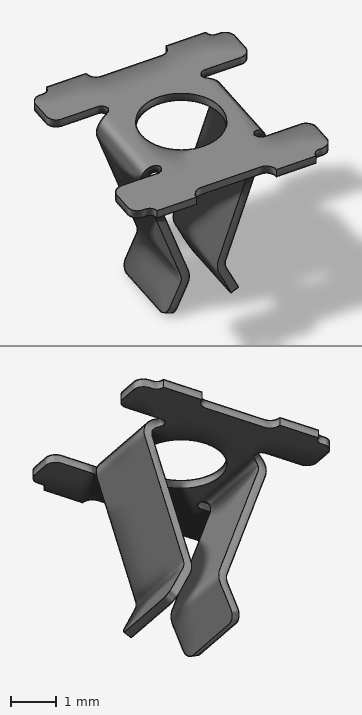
import cadquery as cq
import math

half_size = 2.5
height = 4.5
thickness = 0.2
hole_diameter = 2.0

waist_depth = 0.25
waist_end_y = 1.0
corner_notch = 0.175
corner_notch_y = 2.0
foot_radius = 0.25

leg_half_width = 1.0
relief_radius = 0.175
slot_outer_x = leg_half_width + 2 * relief_radius
slot_center_x = leg_half_width + relief_radius
bend_y = 1.175
bend_outer_radius = 0.4
bend_inner_radius = bend_outer_radius - thickness
relief_angle = 62.0
leg_angle = 19.0
throat_half_gap = 0.35
throat_inner_radius = 0.3
throat_outer_radius = throat_inner_radius + thickness
lip_angle = 25.0
lip_corner_radius = 0.25


def polar(center, radius, degrees):
    """Point in the YZ plane, with the angle measured from +Y towards +Z."""
    angle = math.radians(degrees)
    return (center[0] + radius * math.cos(angle), center[1] + radius * math.sin(angle))


def make_plate_quarter():
    diagonal = math.sqrt(0.5)
    foot_outer_x = half_size - corner_notch
    waist_x = half_size - waist_depth
    waist_y = waist_end_y - waist_depth
    notch_y = corner_notch_y + corner_notch
    slot_y = bend_y + relief_radius
    foot_inset = foot_radius * (1 - diagonal)
    return (
        cq.Workplane("XY")
        .lineTo(waist_x, 0)
        .lineTo(waist_x, waist_y)
        .threePointArc(
            (half_size - waist_depth * diagonal, waist_y + waist_depth * diagonal),
            (half_size, waist_end_y),
        )
        .lineTo(half_size, corner_notch_y)
        .threePointArc(
            (half_size - corner_notch * diagonal, notch_y - corner_notch * diagonal),
            (foot_outer_x, notch_y),
        )
        .lineTo(foot_outer_x, half_size - foot_radius)
        .threePointArc(
            (foot_outer_x - foot_inset, half_size - foot_inset),
            (foot_outer_x - foot_radius, half_size),
        )
        .lineTo(slot_outer_x + foot_radius, half_size)
        .threePointArc(
            (slot_outer_x + foot_inset, half_size - foot_inset),
            (slot_outer_x, half_size - foot_radius),
        )
        .lineTo(slot_outer_x, slot_y)
        .threePointArc(
            (slot_center_x + relief_radius * diagonal, slot_y - relief_radius * diagonal),
            (slot_center_x, bend_y),
        )
        .lineTo(0, bend_y)
        .close()
        .extrude(-thickness)
    )


def make_plate():
    quarter = make_plate_quarter()
    half = quarter.union(quarter.mirror("YZ"))
    hole = cq.Workplane("XY").circle(hole_diameter / 2).extrude(-thickness)
    return half.union(half.mirror("XZ")).cut(hole)


def make_relief_cutter(bend_center):
    """Slot side carried around the bend, with walls square to the bent sheet."""
    steps = 8
    clearance = 0.05

    def wrapped_edges(radius):
        curve = []
        border = []
        for step in range(steps + 1):
            fraction = step / steps
            y, z = polar(bend_center, radius, 90 - relief_angle * fraction)
            x = slot_center_x - relief_radius * math.sqrt(1 - (1 - fraction) ** 2)
            curve.append(cq.Vector(x, y, z))
            border.append(cq.Vector(slot_outer_x, y, z))
        return cq.Edge.makeSpline(curve), cq.Edge.makeSpline(border)

    inner_curve, inner_border = wrapped_edges(bend_inner_radius - clearance)
    outer_curve, outer_border = wrapped_edges(bend_outer_radius + clearance)
    faces = [
        cq.Face.makeRuledSurface(inner_curve, outer_curve),
        cq.Face.makeRuledSurface(inner_border, outer_border),
        cq.Face.makeRuledSurface(inner_curve, inner_border),
        cq.Face.makeRuledSurface(outer_curve, outer_border),
    ]
    for end in (0, 1):
        corners = [
            edge.positionAt(end)
            for edge in (inner_curve, inner_border, outer_border, outer_curve)
        ]
        faces.append(cq.Face.makeFromWires(cq.Wire.makePolygon(corners, close=True)))
    return cq.Workplane(cq.Solid.makeSolid(cq.Shell.makeShell(faces)).fix())


def make_leg():
    bend_center = (bend_y, -bend_outer_radius)
    lean = math.radians(leg_angle)
    lip_lean = math.radians(lip_angle)

    throat_y = throat_half_gap + throat_outer_radius
    tangent_distance = bend_outer_radius + throat_inner_radius
    throat_drop = (tangent_distance + (bend_y - throat_y) * math.cos(lean)) / math.sin(lean)
    throat_center = (throat_y, bend_center[1] - throat_drop)
    lip_start_angle = 180 + lip_angle
    throat_start_angle = 180 - leg_angle
    throat_middle_angle = (lip_start_angle + throat_start_angle) / 2
    bend_middle_angle = (90 - leg_angle) / 2

    lip_inner_start = polar(throat_center, throat_outer_radius, lip_start_angle)
    lip_outer_start = polar(throat_center, throat_inner_radius, lip_start_angle)
    lip_length = (height + lip_inner_start[1]) / math.cos(lip_lean)
    lip_inner_end = polar(lip_inner_start, lip_length, lip_angle - 90)
    lip_outer_end = polar(lip_outer_start, lip_length, lip_angle - 90)

    leg = (
        cq.Workplane("YZ")
        .moveTo(bend_y, 0)
        .threePointArc(
            polar(bend_center, bend_outer_radius, bend_middle_angle),
            polar(bend_center, bend_outer_radius, -leg_angle),
        )
        .lineTo(*polar(throat_center, throat_inner_radius, throat_start_angle))
        .threePointArc(
            polar(throat_center, throat_inner_radius, throat_middle_angle),
            lip_outer_start,
        )
        .lineTo(*lip_outer_end)
        .lineTo(*lip_inner_end)
        .lineTo(*lip_inner_start)
        .threePointArc(
            polar(throat_center, throat_outer_radius, throat_middle_angle),
            polar(throat_center, throat_outer_radius, throat_start_angle),
        )
        .lineTo(*polar(bend_center, bend_inner_radius, -leg_angle))
        .threePointArc(
            polar(bend_center, bend_inner_radius, bend_middle_angle),
            (bend_y, -thickness),
        )
        .close()
        .extrude(slot_center_x, both=True)
    )

    relief_end = polar(bend_center, 2 * bend_outer_radius, 90 - relief_angle)
    side_trim = (
        cq.Workplane("YZ", origin=(leg_half_width, 0, 0))
        .polyline([bend_center, relief_end, (half_size, -height), (0, -height)])
        .close()
        .extrude(relief_radius)
    )
    side_trim = side_trim.union(make_relief_cutter(bend_center))
    leg = leg.cut(side_trim).cut(side_trim.mirror("YZ"))

    lip_direction = cq.Vector(0, math.sin(lip_lean), -math.cos(lip_lean))
    lip_corners = leg.faces(cq.selectors.DirectionMinMaxSelector(lip_direction)).edges("not |X")
    return lip_corners.fillet(lip_corner_radius)


leg = make_leg()
result = make_plate().union(leg).union(leg.mirror("XZ"))